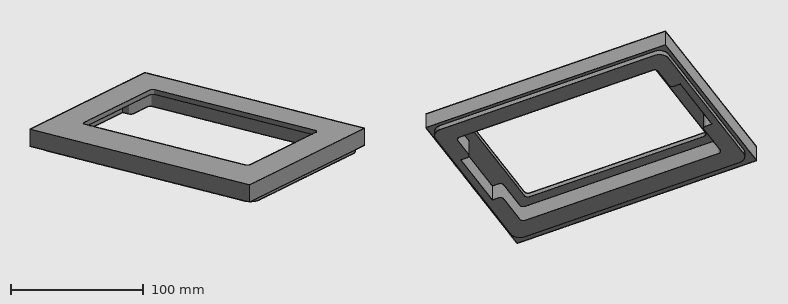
import cadquery as cq

length = 204.0
width = 149.0
plate_height = 13.9

rim_height = 4.0
rim_inset = 2.9
rim_front_inset = 8.2
rim_corner_radius = 7.8

window_side_margin = 24.9
window_back_margin = 25.5
window_front_margin = 32.8
window_corner_radius = 3.0
lip_thickness = 3.9

pocket_offset = 8.2
pocket_corner_radius = 2.9

recess_depth = 8.2
recess_length = 51.5
recess_back_margin = 40.8
recess_edge_radius = 2.9

total_height = plate_height + rim_height


def block(side_margin, front_margin, back_margin, bottom, height):
    """Box placed by its distances from the edges of the face plate."""
    return (
        cq.Workplane("XY", origin=(0, (front_margin - back_margin) / 2, bottom))
        .rect(length - 2 * side_margin, width - front_margin - back_margin)
        .extrude(height)
    )


plate = block(0, 0, 0, rim_height, plate_height)
rim = block(rim_inset, rim_front_inset, rim_inset, 0, rim_height)
rim = rim.edges("|Z").fillet(rim_corner_radius)

window = block(window_side_margin, window_front_margin, window_back_margin, 0, total_height)
window = window.edges("|Z").fillet(window_corner_radius)

pocket_height = total_height - lip_thickness
pocket_side_margin = window_side_margin - pocket_offset
recess_front_margin = width - recess_back_margin - recess_length
pocket = block(
    pocket_side_margin,
    window_front_margin - pocket_offset,
    window_back_margin - pocket_offset,
    0,
    pocket_height,
)
recesses = block(
    pocket_side_margin - recess_depth, recess_front_margin, recess_back_margin, 0, pocket_height
)
pocket = pocket.edges("|Z").fillet(pocket_corner_radius)
pocket = pocket.union(recesses)

edge_tolerance = 0.2
mouth_front = recess_front_margin - width / 2 - edge_tolerance
mouth_back = width / 2 - recess_back_margin + edge_tolerance
mouth_x = length / 2 - pocket_side_margin
for side in (-1, 1):
    mouth_edges = cq.selectors.BoxSelector(
        (side * mouth_x - edge_tolerance, mouth_front, 0),
        (side * mouth_x + edge_tolerance, mouth_back, total_height),
    )
    pocket = pocket.edges("|Z").edges(mouth_edges).fillet(recess_edge_radius)

result = plate.union(rim).cut(window).cut(pocket)